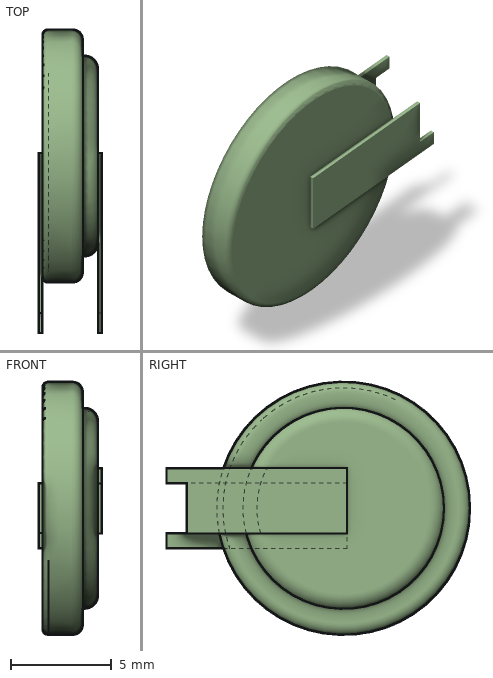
import cadquery as cq

can_diameter = 12.6
can_thickness = 2.01
can_back_fillet = 0.3
can_front_fillet = 0.53
cap_diameter = 10.0
cap_thickness = 0.75
cap_fillet = 0.7

tab_thickness = 0.2
tab_height = 3.25
tab_outer_z = 2.0
tab_inner_z = tab_outer_z - tab_height
leg_height = 0.75
tab_start_y = 0.17
tab_shoulder_y = -7.79
overall_length = 15.1
leg_tip_y = can_diameter / 2 - overall_length


def make_can():
    can = cq.Workplane("YZ").circle(can_diameter / 2).extrude(can_thickness)
    can = can.faces("<X").edges().fillet(can_back_fillet)
    return can.faces(">X").edges().fillet(can_front_fillet)


def make_cap():
    cap = cq.Workplane("YZ", origin=(can_thickness, 0, 0))
    cap = cap.circle(cap_diameter / 2).extrude(cap_thickness)
    return cap.faces(">X").edges().fillet(cap_fillet)


def make_tab(start_x, leg_side):
    """Tab with its leg along the upper (+1) or lower (-1) edge."""
    outer_z = leg_side * tab_outer_z
    inner_z = leg_side * tab_inner_z
    leg_z = leg_side * (tab_outer_z - leg_height)
    outline = [
        (tab_start_y, inner_z),
        (tab_start_y, outer_z),
        (leg_tip_y, outer_z),
        (leg_tip_y, leg_z),
        (tab_shoulder_y, leg_z),
        (tab_shoulder_y, inner_z),
    ]
    plane = cq.Workplane("YZ", origin=(start_x, 0, 0))
    return plane.polyline(outline).close().extrude(tab_thickness)


back_tab = make_tab(-tab_thickness, -1)
front_tab = make_tab(can_thickness + cap_thickness, 1)
result = make_can().union(make_cap()).union(back_tab).union(front_tab)